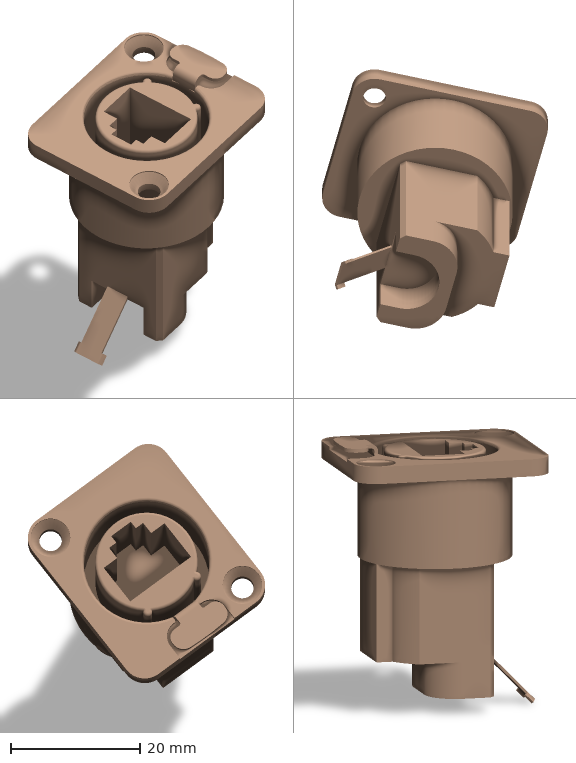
import cadquery as cq
import math


PLATE_X = 26.0
PLATE_Y = 31.0
PLATE_THICKNESS = 2.7
PLATE_CORNER_RADIUS = 3.5

SCREW_X = 9.5
SCREW_Y = 12.0
SCREW_HOLE_RADIUS = 1.75
SCREW_HEAD_RADIUS = 3.05
SCREW_HEAD_RIM = 0.2
SCREW_CONE_DEPTH = SCREW_HEAD_RADIUS - SCREW_HOLE_RADIUS

BARREL_RADIUS = 12.0
BARREL_BOTTOM = -16.8
GROOVE_RADIUS = 9.7
GROOVE_DEPTH = 12.0
RIM_ROUND = 0.5
GUIDE_RADIUS = 7.9
GUIDE_ROUND = 0.45
KEY_RADIUS = 0.7
KEY_OFFSET = 8.05
KEY_ANGLES = (54.0, 126.0)

SOCKET_TOP_Y = 3.6
SOCKET_STEPS = ((11.8, -3.15), (6.6, -5.2), (3.8, -6.5))
SOCKET_DEPTH = 13.0

BODY_HALF_X = 8.2
BODY_FRONT_Y = -7.45
BODY_BACK_Y = 8.2
BODY_BACK_RADIUS = 9.45
BODY_CHAMFER = 0.8
BODY_STEP_Z = -32.35
SPINE_HALF_X = 4.9
SPINE_BACK_Y = 10.65
FOOT_BACK_Y = 2.6
FOOT_RADIUS = 4.9
FOOT_BOTTOM = -38.1
CHANNEL_RADIUS = 5.0
CHANNEL_STRAIGHT = 3.0

TAB_HALF_X = 5.0
TAB_TOP = 1.42
TAB_THICKNESS = 0.6
TAB_FRONT_Y = 11.6
TAB_BACK_Y = PLATE_Y / 2
TAB_BACK_SAG = 0.3
TAB_BACK_ROUND = 1.95
TAB_FRONT_ROUND = 1.6
STEM_WIDTH = 4.2
STEM_FRONT_Y = 9.66
STEM_BEND_RADIUS = 1.1
STEM_ROOT_ROUND = 0.35
RECESS_HALF_X = 5.3
RECESS_FRONT_Y = 10.45
RECESS_CORNER_RADIUS = 2.6
RECESS_DEPTH = 0.5
NECK_ROUND = 0.3
SLOT_WIDTH = 4.4
SLOT_DEPTH = 0.95

LEVER_WIDTH = 3.9
LEVER_THICKNESS = 0.4
LEVER_TOP_Z = -31.75
LEVER_ANGLE = 45.5
LEVER_LENGTH = 11.4
LEVER_EMBED = 1.0
WING_LENGTH = 1.7
WING_BEND_ANGLE = 45.0
WING_TIP_X = 2.7


def block(x_min, x_max, y_min, y_max, z_min, z_max):
    size = (x_max - x_min, y_max - y_min, z_max - z_min)
    return cq.Workplane("XY").box(*size, centered=False).translate((x_min, y_min, z_min))


def cylinder(radius, z_min, z_max, x=0.0, y=0.0):
    return cq.Workplane("XY", origin=(x, y, z_min)).circle(radius).extrude(z_max - z_min)


def make_plate():
    plate = block(-PLATE_X / 2, PLATE_X / 2, -PLATE_Y / 2, PLATE_Y / 2, -PLATE_THICKNESS, 0)
    plate = plate.edges("|Z").fillet(PLATE_CORNER_RADIUS)
    for side in (-1, 1):
        plate = plate.cut(make_screw_hole(side * SCREW_X, -side * SCREW_Y))
    return plate


def make_screw_hole(x, y):
    cone_bottom = -SCREW_HEAD_RIM - SCREW_CONE_DEPTH
    profile = [
        (0, 0),
        (SCREW_HEAD_RADIUS, 0),
        (SCREW_HEAD_RADIUS, -SCREW_HEAD_RIM),
        (SCREW_HOLE_RADIUS, cone_bottom),
        (SCREW_HOLE_RADIUS, -PLATE_THICKNESS),
        (0, -PLATE_THICKNESS),
    ]
    hole = cq.Workplane("XZ").polyline(profile).close().revolve(360, (0, 0), (0, 1))
    return hole.translate((x, y, 0))


def make_groove():
    """Round cavity whose mouth flares out over the rounded rim."""
    mouth = GROOVE_RADIUS + RIM_ROUND
    bend = RIM_ROUND * (1 - math.sqrt(0.5))
    return (
        cq.Workplane("XZ")
        .moveTo(0, 0)
        .lineTo(mouth, 0)
        .threePointArc((GROOVE_RADIUS + bend, -bend), (GROOVE_RADIUS, -RIM_ROUND))
        .lineTo(GROOVE_RADIUS, -GROOVE_DEPTH)
        .lineTo(0, -GROOVE_DEPTH)
        .close()
        .revolve(360, (0, 0), (0, 1))
    )


def make_guide():
    """Cylinder with two round keying ribs that stands in the groove."""
    guide = cylinder(GUIDE_RADIUS, -GROOVE_DEPTH, 0)
    for angle in KEY_ANGLES:
        key_x = KEY_OFFSET * math.cos(math.radians(angle))
        key_y = KEY_OFFSET * math.sin(math.radians(angle))
        guide = guide.union(cylinder(KEY_RADIUS, -GROOVE_DEPTH, 0, key_x, key_y))
    return guide.faces(">Z").edges().fillet(GUIDE_ROUND)


def make_socket():
    socket = cq.Workplane("XY")
    for width, bottom_y in SOCKET_STEPS:
        socket = socket.union(block(-width / 2, width / 2, bottom_y, SOCKET_TOP_Y, -SOCKET_DEPTH, 0))
    return socket


def make_body():
    core = block(-BODY_HALF_X, BODY_HALF_X, BODY_FRONT_Y, BODY_BACK_Y, BODY_STEP_Z, BARREL_BOTTOM)
    core = core.edges("|Z and <Y").chamfer(BODY_CHAMFER)
    rounding = cylinder(BODY_BACK_RADIUS, BODY_STEP_Z, BARREL_BOTTOM)
    front_half = block(-BODY_HALF_X, BODY_HALF_X, BODY_FRONT_Y, 0, BODY_STEP_Z, BARREL_BOTTOM)
    core = core.intersect(rounding.union(front_half))
    spine = block(-SPINE_HALF_X, SPINE_HALF_X, 0, SPINE_BACK_Y, BODY_STEP_Z, BARREL_BOTTOM)
    return core.union(spine).union(make_foot())


def make_foot():
    """Lower part of the body, with a round-ended channel up its front."""
    foot = block(-BODY_HALF_X, BODY_HALF_X, BODY_FRONT_Y, FOOT_BACK_Y, FOOT_BOTTOM, BODY_STEP_Z)
    foot = foot.edges("|Z and <Y").chamfer(BODY_CHAMFER)
    foot = foot.edges("|Z and >Y").fillet(FOOT_RADIUS)
    channel_end_y = BODY_FRONT_Y + CHANNEL_STRAIGHT
    foot = foot.cut(
        block(-CHANNEL_RADIUS, CHANNEL_RADIUS, BODY_FRONT_Y, channel_end_y, FOOT_BOTTOM, BODY_STEP_Z)
    )
    return foot.cut(cylinder(CHANNEL_RADIUS, FOOT_BOTTOM, BODY_STEP_Z, y=channel_end_y))


def make_latch_recess():
    """Finger recess open at the plate's back edge, with a neck and stem slot into the groove."""
    half_slot = SLOT_WIDTH / 2
    recess = block(-RECESS_HALF_X, RECESS_HALF_X, RECESS_FRONT_Y, PLATE_Y / 2, -RECESS_DEPTH, 0)
    recess = recess.edges("|Z and <Y").fillet(RECESS_CORNER_RADIUS)
    recess = recess.union(block(-half_slot, half_slot, 0, RECESS_FRONT_Y, -RECESS_DEPTH, 0))
    for side in (-1, 1):
        corner = cq.selectors.NearestToPointSelector((side * half_slot, RECESS_FRONT_Y, 0))
        recess = recess.edges("|Z").edges(corner).fillet(NECK_ROUND)
    slot_back_y = STEM_FRONT_Y + TAB_THICKNESS
    return recess.union(block(-half_slot, half_slot, 0, slot_back_y, -SLOT_DEPTH, 0))


def make_latch():
    tab_bottom = TAB_TOP - TAB_THICKNESS
    stem_back_y = STEM_FRONT_Y + TAB_THICKNESS
    tab = (
        cq.Workplane("XY", origin=(0, 0, tab_bottom))
        .moveTo(-TAB_HALF_X, TAB_FRONT_Y)
        .lineTo(TAB_HALF_X, TAB_FRONT_Y)
        .lineTo(TAB_HALF_X, TAB_BACK_Y - TAB_BACK_SAG)
        .threePointArc((0, TAB_BACK_Y), (-TAB_HALF_X, TAB_BACK_Y - TAB_BACK_SAG))
        .close()
        .extrude(TAB_THICKNESS)
    )
    tab = tab.edges("|Z").edges(">Y").fillet(TAB_BACK_ROUND)
    tab = tab.edges("|Z").edges("<Y").fillet(TAB_FRONT_ROUND)
    outer_bend = STEM_BEND_RADIUS
    inner_bend = STEM_BEND_RADIUS - TAB_THICKNESS
    bend_y = STEM_FRONT_Y + outer_bend
    bend_z = TAB_TOP - outer_bend
    outer_mid = outer_bend * math.sqrt(0.5)
    inner_mid = inner_bend * math.sqrt(0.5)
    stem = (
        cq.Workplane("YZ", origin=(-STEM_WIDTH / 2, 0, 0))
        .moveTo(STEM_FRONT_Y, -SLOT_DEPTH)
        .lineTo(STEM_FRONT_Y, bend_z)
        .threePointArc((bend_y - outer_mid, bend_z + outer_mid), (bend_y, TAB_TOP))
        .lineTo(TAB_FRONT_Y, TAB_TOP)
        .lineTo(TAB_FRONT_Y, tab_bottom)
        .lineTo(bend_y, tab_bottom)
        .threePointArc((bend_y - inner_mid, bend_z + inner_mid), (stem_back_y, bend_z))
        .lineTo(stem_back_y, -SLOT_DEPTH)
        .close()
        .extrude(STEM_WIDTH)
    )
    latch = tab.union(stem)
    for side in (-1, 1):
        corner = cq.selectors.NearestToPointSelector((side * STEM_WIDTH / 2, TAB_FRONT_Y, TAB_TOP))
        latch = latch.edges("|Z").edges(corner).fillet(STEM_ROOT_ROUND)
    return latch


def make_wing(side):
    """Tab bent down along one edge of the lever, about the edge's lower corner."""
    angle = math.radians(WING_BEND_ANGLE)
    edge_x = LEVER_WIDTH / 2

    def around_corner(turn):
        x = edge_x + LEVER_THICKNESS * math.sin(turn)
        return (side * x, LEVER_THICKNESS * (math.cos(turn) - 1))

    bend_end_x, bend_end_z = around_corner(angle)
    tip_z = bend_end_z - (WING_TIP_X - side * bend_end_x) * math.tan(angle)
    inner_tip_x = WING_TIP_X - LEVER_THICKNESS * math.sin(angle)
    inner_tip_z = tip_z - LEVER_THICKNESS * math.cos(angle)
    return (
        cq.Workplane("YZ", origin=(LEVER_LENGTH - WING_LENGTH, 0, 0))
        .moveTo(0, 0)
        .lineTo(side * edge_x, 0)
        .threePointArc(around_corner(angle / 2), (bend_end_x, bend_end_z))
        .lineTo(side * WING_TIP_X, tip_z)
        .lineTo(side * inner_tip_x, inner_tip_z)
        .lineTo(side * edge_x, -LEVER_THICKNESS)
        .lineTo(0, -LEVER_THICKNESS)
        .close()
        .extrude(WING_LENGTH)
    )


def make_lever():
    """Flat spring strip built along +X, then tilted and turned to point down and forward."""
    half_width = LEVER_WIDTH / 2
    lever = block(-LEVER_EMBED, LEVER_LENGTH, -half_width, half_width, -LEVER_THICKNESS, 0)
    for side in (-1, 1):
        lever = lever.union(make_wing(side))
    lever = lever.rotate((0, 0, 0), (0, 1, 0), LEVER_ANGLE)
    lever = lever.rotate((0, 0, 0), (0, 0, 1), -90)
    return lever.translate((0, BODY_FRONT_Y, LEVER_TOP_Z))


housing = make_plate().union(cylinder(BARREL_RADIUS, BARREL_BOTTOM, -PLATE_THICKNESS))
housing = housing.cut(make_groove()).cut(make_latch_recess())
housing = housing.union(make_guide()).union(make_body()).cut(make_socket())
result = housing.union(make_latch()).union(make_lever())